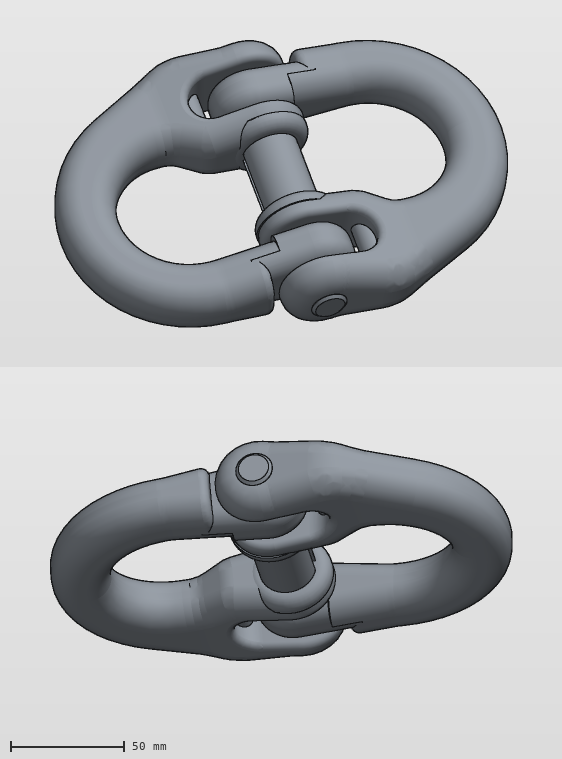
import cadquery as cq
import math


pin_dia = 16.3
pin_length = 137.5
pin_chamfer = 1.5
sleeve_dia = 25.3
sleeve_slit = 4.9

bow_thickness = 25.3
fork_radius = 19.2
eye_radius = 17.5
eye_center_y = 1.6
taper_end_y = -42.5
taper_blend = 30.5
edge_round = 10.8

link_end_y = -101.9
outer_arc_x = 0.8
outer_arc_radius = 59.0
outer_arc_y = link_end_y + outer_arc_radius
inner_end_y = -75.5
inner_arc_x = 1.6
inner_right_radius = 31.5
inner_left_radius = 26.9
outer_flank_angle = 27.5

fork_outer_x = -67.5
fork_inner_x = -17.0
fork_flare_y = -6.1
fork_flare_round = 16.3
hip_y = -32.2
hip_round = 24.5
throat_top_y = -27.7
throat_bottom_y = -41.8
throat_round = 12.2
ear_pad_x = -16.5
ear_pad_thickness = 7.1
ear_pad_round = 5.7
slot_center_x = -42.0
slot_width = 21.4
slot_round_y = -29.1
slot_nose_y = -21.8
slot_nose_radius = 6.1
slot_edge_round = 3.0

leg_end_y = -22.0
leg_end_round = 3.7
eye_center_x = -slot_center_x
eye_width = 21.0
eye_round = 8.1
eye_split_x = 43.4
eye_neck_y = -28.5
eye_shoulder_y = -15.3

assembly_tilt = 3.4
upper_link_droop = 5.0

leg_inner_x = inner_arc_x + inner_right_radius
leg_outer_x = outer_arc_x + outer_arc_radius
reach_past_eye = fork_radius + 2.0
far = 407.5
margin = 0.2


def tapered_slab(end_radius, end_center_y):
    """Slab along X whose thickness tapers from a round end down to the flat bow."""
    half = bow_thickness / 2
    run = end_center_y - taper_end_y
    lean = math.asin(end_radius / math.hypot(run, half)) - math.atan2(half, run)
    tangent_y = end_center_y - end_radius * math.sin(lean)
    tangent_z = end_radius * math.cos(lean)
    slab = (
        cq.Workplane("YZ")
        .moveTo(link_end_y - 2, -half)
        .lineTo(taper_end_y, -half)
        .lineTo(tangent_y, -tangent_z)
        .threePointArc((end_center_y + end_radius, 0), (tangent_y, tangent_z))
        .lineTo(taper_end_y, half)
        .lineTo(link_end_y - 2, half)
        .close()
        .extrude(far / 2, both=True)
    )
    for side in (-1, 1):
        slab = slab.edges(cq.NearestToPointSelector((0, taper_end_y, side * half))).fillet(taper_blend)
    return slab


def half_space(x_side):
    """Everything on one side of the YZ plane."""
    return cq.Workplane("XY").box(far, far, far).translate((x_side * far / 2, 0, 0))


def bow_blank():
    """Fork, bow and leg in one flat outline."""
    lean = math.radians(outer_flank_angle)
    flank_x = outer_arc_x - outer_arc_radius * math.cos(lean)
    flank_y = outer_arc_y - outer_arc_radius * math.sin(lean)
    hip_x = flank_x - (hip_y - flank_y) * math.tan(lean)
    inner_left_x = inner_arc_x - inner_left_radius
    inner_left_y = inner_end_y + inner_left_radius
    inner_right_y = inner_end_y + inner_right_radius
    blank = (
        cq.Workplane("XY")
        .workplane(offset=-reach_past_eye)
        .moveTo(leg_outer_x, eye_shoulder_y)
        .lineTo(leg_outer_x, outer_arc_y)
        .tangentArcPoint((outer_arc_x, link_end_y), relative=False)
        .tangentArcPoint((flank_x, flank_y), relative=False)
        .lineTo(hip_x, hip_y)
        .lineTo(fork_outer_x, fork_flare_y)
        .lineTo(fork_outer_x, reach_past_eye)
        .lineTo(fork_inner_x, reach_past_eye)
        .lineTo(fork_inner_x, throat_top_y)
        .lineTo(inner_left_x, throat_bottom_y)
        .lineTo(inner_left_x, inner_left_y)
        .tangentArcPoint((inner_arc_x, inner_end_y), relative=False)
        .tangentArcPoint((leg_inner_x, inner_right_y), relative=False)
        .lineTo(leg_inner_x, eye_shoulder_y)
        .close()
        .extrude(2 * reach_past_eye)
    )
    bends = (
        (hip_x, hip_y, hip_round),
        (fork_outer_x, fork_flare_y, fork_flare_round),
        (fork_inner_x, throat_top_y, throat_round),
        (inner_left_x, throat_bottom_y, throat_round),
    )
    for x, y, radius in bends:
        blank = blank.edges(cq.NearestToPointSelector((x, y, 0))).fillet(radius)
    fork_side = blank.intersect(tapered_slab(fork_radius, 0)).intersect(half_space(-1))
    eye_side = blank.intersect(tapered_slab(eye_radius, eye_center_y)).intersect(half_space(1))
    return fork_side.union(eye_side, clean=True)


def rounded_bow():
    """Bow blank with its long edges rounded and the outer part of the leg cut short."""
    bow = bow_blank()
    bow = bow.edges("not(|X or |Z)").fillet(edge_round)
    beyond_leg_end = cq.Workplane("XY").box(far, far, far).translate((far / 2, leg_end_y + far / 2, 0))
    leg_tip = bow.intersect(beyond_leg_end.translate((0, -2 * leg_end_round, 0)))
    leg_tip = leg_tip.intersect(half_space(-1).translate((eye_split_x, 0, 0)))
    leg_end = cq.selectors.BoxSelector(
        (leg_inner_x - 2, leg_end_y - margin, -far), (leg_outer_x + 2, leg_end_y + margin, far)
    )
    bow = bow.cut(beyond_leg_end).edges(leg_end).fillet(leg_end_round)
    return bow.union(leg_tip)


def single_eye():
    """Rounded eye that carries the leg's pin hole."""
    eye = (
        cq.Workplane("XY")
        .box(eye_width, reach_past_eye - eye_neck_y, 2 * reach_past_eye)
        .translate((eye_center_x, (reach_past_eye + eye_neck_y) / 2, 0))
        .intersect(tapered_slab(eye_radius, eye_center_y))
    )
    eye = eye.edges("not(|X or |Z)").edges(">X or <X").fillet(eye_round)
    inner_neck = (
        cq.Workplane("XY")
        .box(far, far, far)
        .translate((eye_split_x - far / 2, eye_shoulder_y - far / 2, 0))
    )
    return eye.cut(inner_neck)


def fork_slot():
    """Slot with a round bottom that splits the fork into two ears."""
    half = slot_width / 2
    return (
        cq.Workplane("XY")
        .workplane(offset=-reach_past_eye)
        .moveTo(slot_center_x - half, reach_past_eye)
        .lineTo(slot_center_x - half, slot_round_y + half)
        .threePointArc((slot_center_x, slot_round_y), (slot_center_x + half, slot_round_y + half))
        .lineTo(slot_center_x + half, reach_past_eye)
        .close()
        .extrude(2 * reach_past_eye)
    )


def slot_web():
    """Round bar along X whose front forms the web at the bottom of the slot."""
    return (
        cq.Workplane("YZ")
        .center(slot_nose_y - slot_nose_radius, 0)
        .circle(slot_nose_radius)
        .extrude(slot_width, both=True)
        .translate((slot_center_x, 0, 0))
    )


def ear_pad():
    """Round pad on the inner ear, facing the sleeve."""
    return (
        cq.Workplane("YZ")
        .workplane(offset=ear_pad_x - ear_pad_thickness)
        .circle(fork_radius)
        .extrude(ear_pad_thickness)
        .faces(">X")
        .edges()
        .fillet(ear_pad_round)
    )


def pin_hole():
    return cq.Workplane("YZ").circle(pin_dia / 2).extrude(far / 2, both=True)


def half_link():
    """One half link: fork at -X, single eye at +X."""
    slot = fork_slot()
    bow = rounded_bow().cut(slot)
    half = slot_width / 2
    slot_mouth = cq.selectors.BoxSelector(
        (slot_center_x - half - margin, slot_round_y - margin, -far),
        (slot_center_x + half + margin, far, far),
        boundingbox=True,
    )
    bow = bow.edges(slot_mouth).edges("not |Z").fillet(slot_edge_round)
    bow = bow.union(slot_web().intersect(slot))
    return bow.union(ear_pad()).union(single_eye()).cut(pin_hole())


def link_pin():
    pin = cq.Workplane("YZ").circle(pin_dia / 2).extrude(pin_length / 2, both=True)
    return pin.faces("<X or >X").chamfer(pin_chamfer)


def split_sleeve():
    """Sleeve between the two forks, slit along its length on the -Y side."""
    sleeve = cq.Workplane("YZ").circle(sleeve_dia / 2).circle(pin_dia / 2).extrude(-ear_pad_x, both=True)
    slit = cq.Workplane("XY").box(far, sleeve_dia, sleeve_slit).translate((0, -sleeve_dia / 2, 0))
    return sleeve.cut(slit)


def posed(body):
    """Tilt a body with the whole assembly."""
    return body.rotate((0, 0, 0), (0, 1, 0), assembly_tilt)


link = half_link()
turned_link = link.rotate((0, 0, 0), (0, 0, 1), 180)
lower_link = posed(link)
upper_link = posed(turned_link.rotate((0, 0, 0), (1, 0, 0), -upper_link_droop))
pin = posed(link_pin())
sleeve = posed(split_sleeve())

result = cq.Compound.makeCompound([lower_link.val(), upper_link.val(), pin.val(), sleeve.val()])